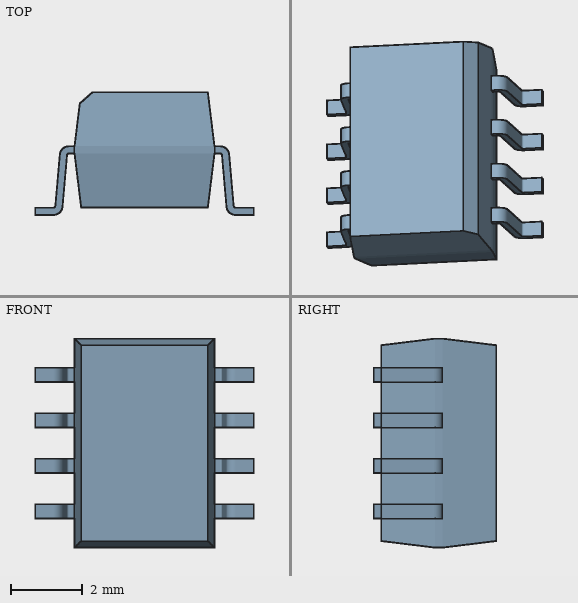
import cadquery as cq
import math


overall_width = 6.1
lead_thickness = 0.21
lead_width = 0.41
lead_pitch = 1.27
leads_per_side = 4
foot_length = 0.555
leg_lean = 5.0
inner_bend_radius = 0.05
outer_bend_radius = inner_bend_radius + lead_thickness

housing_width = 3.91
housing_length = 5.84
housing_depth = 3.22
band_depth = lead_thickness
draft_angle = 7.0
edge_chamfer = 0.32

standoff = lead_thickness
half_depth = (housing_depth - band_depth) / 2
band_front = standoff + half_depth
band_back = band_front + band_depth


def make_housing():
    """Moulded block, tapering from the band to the front and to the back."""
    band = cq.Workplane("ZX", origin=(0, band_front, 0)).rect(housing_length, housing_width).extrude(band_depth)
    back = (
        cq.Workplane("ZX", origin=(0, band_back, 0))
        .rect(housing_length, housing_width)
        .extrude(half_depth, taper=draft_angle)
    )
    front = (
        cq.Workplane("XZ", origin=(0, band_front, 0))
        .rect(housing_width, housing_length)
        .extrude(half_depth, taper=draft_angle)
    )
    block = band.union(back).union(front)
    return block.faces(">Y").edges("<X").chamfer(edge_chamfer)


def make_lead():
    """Gull-wing lead on the +X side, centred on Z = 0, butting against the band."""
    root_x = housing_width / 2
    toe_x = overall_width / 2
    lean = math.radians(leg_lean)
    ankle_x = toe_x - foot_length
    shoulder_x = ankle_x - (band_back - lead_thickness) * math.tan(lean)
    bend_angle = math.pi / 2 - lean
    corner_shift = lead_thickness * math.tan(bend_angle / 2)

    outer_shoulder = (shoulder_x, band_back)
    inner_shoulder = (shoulder_x - corner_shift, band_front)
    inner_ankle = (ankle_x, lead_thickness)
    outer_ankle = (ankle_x - corner_shift, 0)
    outline = [
        (root_x, band_back),
        outer_shoulder,
        inner_ankle,
        (toe_x, lead_thickness),
        (toe_x, 0),
        outer_ankle,
        inner_shoulder,
        (root_x, band_front),
    ]
    lead = cq.Workplane("XY").polyline(outline).close().extrude(lead_width / 2, both=True)
    bends = [
        (outer_shoulder, outer_bend_radius),
        (inner_shoulder, inner_bend_radius),
        (outer_ankle, outer_bend_radius),
        (inner_ankle, inner_bend_radius),
    ]
    for (x, y), radius in bends:
        lead = lead.edges(cq.selectors.NearestToPointSelector((x, y, 0))).fillet(radius)
    return lead


housing = make_housing()

right_lead = make_lead()
left_lead = right_lead.mirror("YZ")
leads = []
for position in range(leads_per_side):
    z = (position - (leads_per_side - 1) / 2) * lead_pitch
    for lead in (right_lead, left_lead):
        leads.append(lead.translate((0, 0, z)).solids().val())

result = cq.Compound.makeCompound([housing.solids().val(), *leads])